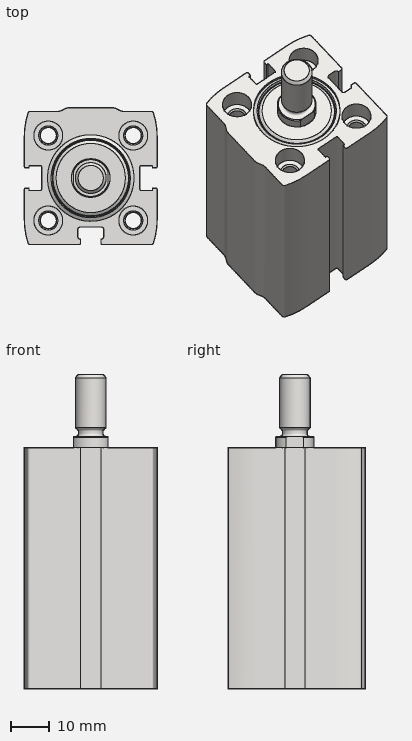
import cadquery as cq
import math

total_height = 81.5
body_height = 62.5
half_width = 34.5 / 2
half_depth = 34.55 / 2
side_flat_half = 10.75
side_curve_radius = 19.6
corner_radius = 0.65

pad_height = 1.0
pad_flat_half = 5.4
pad_half = 8.7

slot_throat_half = 2.6
lip_radius = 0.4
side_slot_half = 3.2
side_slot_depth = 4.5
side_lip = 1.3
side_slot_radius = 0.25
front_slot_half = 3.35
front_slot_depth = 4.6
front_lip = 1.5
front_slot_radius = 0.65

hole_spacing = 22.0
hole_diameter = 4.15
hole_mouth_diameter = 5.0
hole_mouth_depth = 0.4
counterbore_diameter = 7.5
counterbore_depth = 5.7

cap_radius = 22.4 / 2
cap_ridge_radius = 10.3
cap_groove_outer = 20.0 / 2
cap_groove_inner = 9.8
cap_shoulder_radius = 9.2
cap_face_radius = 9.0
cap_rim_depth = 0.7
cap_ridge_depth = 0.2
cap_groove_depth = 0.65
cap_shoulder_depth = 0.25
cap_face_depth = 0.2

rod_diameter = 10.0
rod_flats = 9.0
rod_insertion = rod_diameter
rod_bottom_z = body_height - rod_insertion
flat_runout_depth = 1.0
flat_runout_height = 0.3
shoulder_z = 65.45
shoulder_chamfer = 0.25
neck_radius = 6.4 / 2
neck_fillet = 0.65
thread_radius = 8.0 / 2
thread_bottom_z = 67.7
tip_radius = 3.3
tip_chamfer_height = 0.9


def round_upright_edges(body, points, radius):
    """Fillet the full-height vertical edges that stand at the given (x, y) points."""
    for x, y in points:
        edge = cq.selectors.NearestToPointSelector((x, y, body_height / 2))
        body = body.edges(edge).fillet(radius)
    return body


def barrel():
    """Extrude the outer outline, symmetric about x = 0."""
    arc_angle = math.asin((half_depth - side_flat_half) / side_curve_radius)
    corner_x = half_width - side_curve_radius * (1 - math.cos(arc_angle))
    mid_x = half_width - side_curve_radius * (1 - math.cos(arc_angle / 2))
    mid_y = side_flat_half + side_curve_radius * math.sin(arc_angle / 2)
    outline = (
        cq.Workplane("XY")
        .moveTo(-corner_x, -half_depth)
        .lineTo(corner_x, -half_depth)
        .threePointArc((mid_x, -mid_y), (half_width, -side_flat_half))
        .lineTo(half_width, side_flat_half)
        .threePointArc((mid_x, mid_y), (corner_x, half_depth))
        .lineTo(-corner_x, half_depth)
        .threePointArc((-mid_x, mid_y), (-half_width, side_flat_half))
        .lineTo(-half_width, -side_flat_half)
        .threePointArc((-mid_x, -mid_y), (-corner_x, -half_depth))
        .close()
    )
    corners = [(x, y) for x in (-corner_x, corner_x) for y in (-half_depth, half_depth)]
    return round_upright_edges(outline.extrude(body_height), corners, corner_radius)


def back_pad():
    """Low pad along the back face; two equal arcs blend each end into the face."""
    inflection_x = (pad_flat_half + pad_half) / 2
    return (
        cq.Workplane("XY")
        .moveTo(0, half_depth + pad_height)
        .lineTo(pad_flat_half, half_depth + pad_height)
        .tangentArcPoint((inflection_x, half_depth + pad_height / 2), relative=False)
        .tangentArcPoint((pad_half, half_depth), relative=False)
        .lineTo(pad_half, 0)
        .lineTo(0, 0)
        .mirrorY()
        .extrude(body_height)
    )


def slot_cutter(inner_half, depth, lip, channel_edges, channel_radius):
    """T-slot opening towards -Y: a narrow throat through the lips, then a wider channel.

    channel_edges selects the channel's vertical edges that are rounded.
    """
    throat = cq.Workplane("XY").box(
        2 * slot_throat_half, depth, body_height, centered=(True, False, False)
    )
    channel = (
        cq.Workplane("XY")
        .box(2 * inner_half, depth - lip, body_height, centered=(True, False, False))
        .edges(channel_edges)
        .fillet(channel_radius)
        .translate((0, lip, 0))
    )
    return throat.union(channel)


def cut_slots(body):
    """Cut one T-slot in the front face and one in each side face, then round the lips."""
    front_slot = slot_cutter(front_slot_half, front_slot_depth, front_lip, "|Z", front_slot_radius)
    body = body.cut(front_slot.translate((0, -half_depth, 0)))

    side_slot = slot_cutter(side_slot_half, side_slot_depth, side_lip, "|Z and >Y", side_slot_radius)
    side_slot = side_slot.translate((0, -half_width, 0))
    for angle in (90, -90):
        body = body.cut(side_slot.rotate((0, 0, 0), (0, 0, 1), angle))

    lips = []
    for side in (-1, 1):
        lips.append((side * slot_throat_half, -half_depth))
        lips.append((-half_width, side * slot_throat_half))
        lips.append((half_width, side * slot_throat_half))
    return round_upright_edges(body, lips, lip_radius)


def mounting_hole():
    """Through hole with a conical mouth at the bottom of its counterbore."""
    floor_z = body_height - counterbore_depth
    hole_radius = hole_diameter / 2
    mouth_radius = hole_mouth_diameter / 2
    counterbore_radius = counterbore_diameter / 2
    return (
        cq.Workplane("XZ")
        .polyline([
            (0, 0),
            (hole_radius, 0),
            (hole_radius, floor_z - hole_mouth_depth),
            (mouth_radius, floor_z),
            (counterbore_radius, floor_z),
            (counterbore_radius, body_height),
            (0, body_height),
        ])
        .close()
        .revolve(360, (0, 0), (0, 1))
    )


def cap_recess():
    """Space above the bearing cap: sloped rim, ridge, ring groove and slightly sunken face."""
    return (
        cq.Workplane("XZ", origin=(0, 0, body_height))
        .polyline([
            (0, 0),
            (0, -cap_face_depth),
            (cap_face_radius, -cap_face_depth),
            (cap_shoulder_radius, -cap_shoulder_depth),
            (cap_groove_inner, -cap_groove_depth),
            (cap_groove_outer, -cap_groove_depth),
            (cap_ridge_radius, -cap_ridge_depth),
            (cap_radius, -cap_rim_depth),
            (cap_radius, 0),
        ])
        .close()
        .revolve(360, (0, 0), (0, 1))
    )


def make_housing():
    """Barrel with its pad, slots, mounting holes, bearing cap detail and blind rod bore."""
    body = cut_slots(barrel().union(back_pad()))
    holes = (
        cq.Workplane("XY")
        .rect(hole_spacing, hole_spacing, forConstruction=True)
        .vertices()
        .eachpoint(lambda place: mounting_hole().val().moved(place))
    )
    rod_bore = (
        cq.Workplane("XY", origin=(0, 0, rod_bottom_z))
        .circle(rod_diameter / 2)
        .extrude(rod_insertion)
    )
    return body.cut(holes).cut(cap_recess()).cut(rod_bore)


def rod_blank():
    """Turned rod: shoulder, undercut neck and plain thread cylinder with a chamfered tip."""
    rod_radius = rod_diameter / 2
    blend_angle = math.radians(45)
    blend_height = neck_fillet * math.sin(blend_angle)
    cone_end_radius = neck_radius + neck_fillet * (1 - math.cos(blend_angle))
    cone_end_z = thread_bottom_z - (thread_radius - cone_end_radius)
    blend_middle = (
        neck_radius + neck_fillet * (1 - math.cos(blend_angle / 2)),
        cone_end_z - blend_height + neck_fillet * math.sin(blend_angle / 2),
    )
    foot_middle_angle = math.radians(45)
    foot_middle = (
        neck_radius + neck_fillet * (1 - math.cos(foot_middle_angle)),
        shoulder_z + neck_fillet * (1 - math.sin(foot_middle_angle)),
    )
    return (
        cq.Workplane("XZ")
        .moveTo(0, rod_bottom_z)
        .lineTo(rod_radius, rod_bottom_z)
        .lineTo(rod_radius, shoulder_z - shoulder_chamfer)
        .lineTo(rod_radius - shoulder_chamfer, shoulder_z)
        .lineTo(neck_radius + neck_fillet, shoulder_z)
        .threePointArc(foot_middle, (neck_radius, shoulder_z + neck_fillet))
        .lineTo(neck_radius, cone_end_z - blend_height)
        .threePointArc(blend_middle, (cone_end_radius, cone_end_z))
        .lineTo(thread_radius, thread_bottom_z)
        .lineTo(thread_radius, total_height - tip_chamfer_height)
        .lineTo(tip_radius, total_height)
        .lineTo(0, total_height)
        .close()
        .revolve(360, (0, 0), (0, 1))
    )


def flat_cutter():
    """Removes one wrench flat on the +X side, ending in a sloped run-out below the cap face."""
    flat_x = rod_flats / 2
    rod_radius = rod_diameter / 2
    runout_z = body_height - flat_runout_depth
    return (
        cq.Workplane("XZ")
        .polyline([
            (flat_x, shoulder_z),
            (flat_x, runout_z),
            (rod_radius, runout_z - flat_runout_height),
            (rod_radius, shoulder_z),
        ])
        .close()
        .extrude(rod_radius, both=True)
    )


def make_rod():
    """Turned rod with two opposite wrench flats."""
    flat = flat_cutter()
    return rod_blank().cut(flat).cut(flat.mirror("YZ"))


housing = make_housing()
rod = make_rod()
result = cq.Compound.makeCompound([housing.solids().val(), rod.val()])